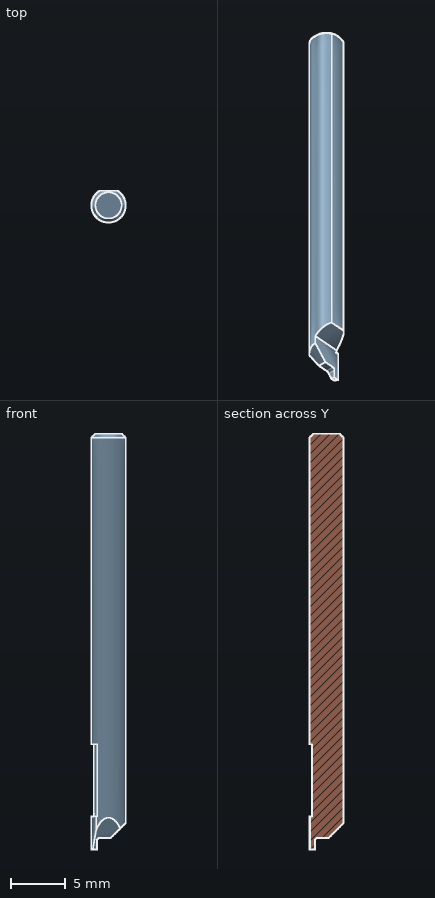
import cadquery as cq
import math

LENGTH = 38.1
DIAMETER = 3.15
RADIUS = DIAMETER / 2
FLAT_WIDTH_ACROSS = 2.95
FLAT_Y = FLAT_WIDTH_ACROSS - RADIUS
END_CHAMFER = 0.4

RELIEF_TOP = 9.65
RELIEF_DEPTH = 0.23
RELIEF_EDGE_Y = 1.2
RELIEF_EDGE_X = -math.sqrt(RADIUS**2 - RELIEF_EDGE_Y**2)

HEAD_HEIGHT = 3.05
RAKE_Y = 0.05
CLEARANCE_EDGE_Y = -1.1
RAKE_TOP = 3.28
HEEL_TOP = 2.95
NOSE_WIDTH = 0.35
NOSE_RISE = 0.05
NIB_WIDTH = 0.55
SHOULDER_Z = 1.05
SHOULDER_END_X = 0.2
NIB_FILLET = 0.23

MARGIN = 1.9
REACH = RADIUS + MARGIN


def make_shank():
    shank = cq.Workplane("XY").circle(RADIUS).extrude(LENGTH)
    shank = shank.faces(">Z").chamfer(END_CHAMFER)
    flat = cq.Workplane("XY").box(2 * REACH, MARGIN, LENGTH, centered=(True, False, False))
    return shank.cut(flat.translate((0, FLAT_Y, 0)))


def relief_cutter():
    """Sliver outside a wide arc, leaving the head untouched at the bottom."""
    sliver = (
        cq.Workplane("XY")
        .moveTo(RELIEF_EDGE_X, -RELIEF_EDGE_Y)
        .threePointArc((-RADIUS + RELIEF_DEPTH, 0), (RELIEF_EDGE_X, RELIEF_EDGE_Y))
        .lineTo(-REACH, RELIEF_EDGE_Y)
        .lineTo(-REACH, -RELIEF_EDGE_Y)
        .close()
        .extrude(RELIEF_TOP - HEAD_HEIGHT)
    )
    return sliver.translate((0, 0, HEAD_HEIGHT))


def side_clearance_cutter():
    """Plane from the cutting edge back to the shank surface."""
    clearance_edge_x = -math.sqrt(RADIUS**2 - CLEARANCE_EDGE_Y**2)
    return (
        cq.Workplane("XY")
        .polyline([
            (-RADIUS, RAKE_Y),
            (clearance_edge_x, CLEARANCE_EDGE_Y),
            (-REACH, CLEARANCE_EDGE_Y),
            (-REACH, RAKE_Y),
        ])
        .close()
        .extrude(HEAD_HEIGHT)
    )


def extrude_along_x(points):
    return cq.Workplane("YZ").polyline(points).close().extrude(REACH, both=True)


def rake_cutter():
    """Removes the +Y half of the head, running out upwards at 45 degrees."""
    return extrude_along_x([
        (RAKE_Y, -MARGIN),
        (RAKE_Y, RAKE_TOP),
        (REACH, RAKE_TOP + REACH - RAKE_Y),
        (REACH, -MARGIN),
    ])


def heel_cutter():
    """Slopes the -Y side to the nose and gives the nose its end clearance."""
    return extrude_along_x([
        (RAKE_Y, 0),
        (-NOSE_WIDTH, NOSE_RISE),
        (-RADIUS, HEEL_TOP),
        (-REACH, HEEL_TOP),
        (-REACH, -MARGIN),
        (RAKE_Y, -MARGIN),
    ])


def shoulder_cutter():
    """Leaves the nib standing below the shoulder and bevels the +X corner."""
    nib_x = -RADIUS + NIB_WIDTH
    return (
        cq.Workplane("XZ")
        .moveTo(nib_x, -MARGIN)
        .lineTo(nib_x, SHOULDER_Z - NIB_FILLET)
        .radiusArc((nib_x + NIB_FILLET, SHOULDER_Z), NIB_FILLET)
        .lineTo(SHOULDER_END_X, SHOULDER_Z)
        .lineTo(REACH, SHOULDER_Z + REACH - SHOULDER_END_X)
        .lineTo(REACH, -MARGIN)
        .close()
        .extrude(REACH, both=True)
    )


result = (
    make_shank()
    .cut(relief_cutter())
    .cut(side_clearance_cutter())
    .cut(rake_cutter())
    .cut(heel_cutter())
    .cut(shoulder_cutter())
)